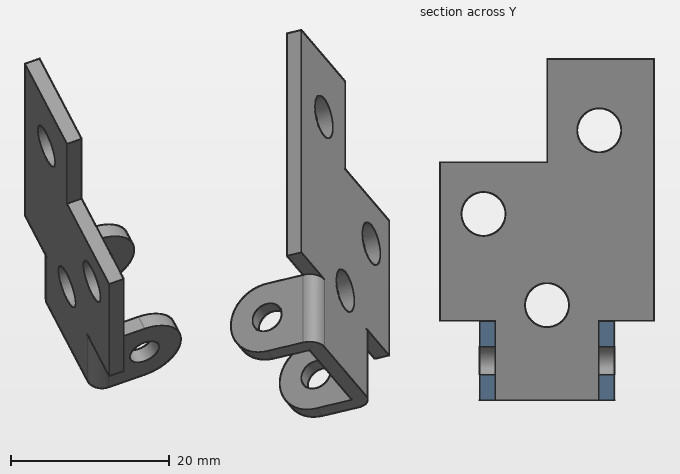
import cadquery as cq

plate_width = 27.0
total_height = 43.0
total_depth = 12.0
thickness = 2.0

step_height = 30.0
web_height = 10.0
web_width = 17.03
web_left = 5.0

mount_hole_diameter = 5.5
ear_hole_diameter = 4.0

center_x = plate_width / 2
web_right = web_left + web_width
ear_radius = web_height / 2
ear_center_y = total_depth - ear_radius

mount_hole_centers = [
    (6.92, 34.0),
    (21.5, 23.48),
    (center_x, 12.0),
]


def make_plate():
    """Flat plate with one upper corner cut away."""
    outline = [
        (0, web_height),
        (plate_width, web_height),
        (plate_width, step_height),
        (center_x, step_height),
        (center_x, total_height),
        (0, total_height),
    ]
    return cq.Workplane("XZ").polyline(outline).close().extrude(-thickness)


def make_web():
    """Narrow web whose front vertical edges are rounded where the ears fold back."""
    web = cq.Workplane("XY").box(web_width, thickness, web_height, centered=False)
    bend_waste = (
        cq.Workplane("XY")
        .moveTo(web_left, thickness)
        .radiusArc((web_left + thickness, 0), -thickness)
        .lineTo(web_left, 0)
        .close()
        .extrude(web_height)
    )
    opposite_waste = bend_waste.mirror("YZ", (web_left + web_width / 2, 0, 0))
    return web.translate((web_left, 0, 0)).cut(bend_waste).cut(opposite_waste)


def make_ear(left_x):
    """Round-ended ear with a pin hole, standing behind the web."""
    ear = (
        cq.Workplane("YZ", origin=(left_x, 0, 0))
        .moveTo(thickness, 0)
        .lineTo(ear_center_y, 0)
        .threePointArc((total_depth, ear_radius), (ear_center_y, web_height))
        .lineTo(thickness, web_height)
        .close()
        .extrude(thickness)
    )
    pin_hole = (
        cq.Workplane("YZ", origin=(left_x, 0, 0))
        .center(ear_center_y, ear_radius)
        .circle(ear_hole_diameter / 2)
        .extrude(thickness)
    )
    return ear.cut(pin_hole)


bracket = make_plate().union(make_web())
for ear_left_x in (web_left, web_right - thickness):
    bracket = bracket.union(make_ear(ear_left_x))

mount_holes = (
    cq.Workplane("XZ")
    .pushPoints(mount_hole_centers)
    .circle(mount_hole_diameter / 2)
    .extrude(-thickness)
)
result = bracket.cut(mount_holes)